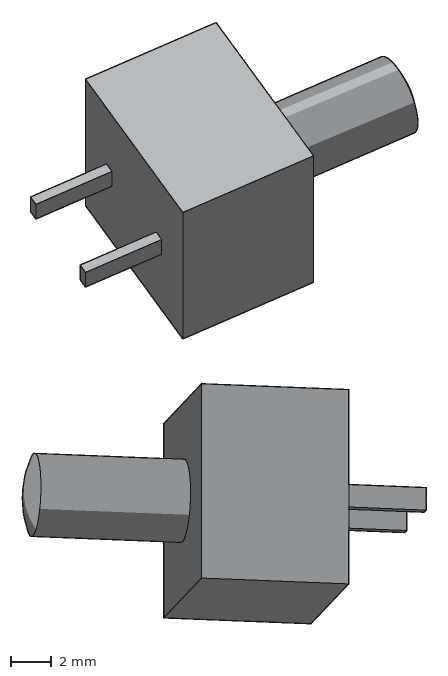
import cadquery as cq

total_length = 19.66
body_width = 9.8
body_depth = 7.4
plunger_diameter = 4.1
dome_height = 0.45
pin_length = 4.3
pin_width = 0.55
pin_height = 1.15
pin_spacing = 5.0

plunger_radius = plunger_diameter / 2
plunger_tip = total_length - pin_length
dome_base = plunger_tip - dome_height
dome_sphere_radius = (plunger_radius**2 + dome_height**2) / (2 * dome_height)
mid_radius = plunger_radius / 2
sphere_center = plunger_tip - dome_sphere_radius
mid_height = sphere_center + (dome_sphere_radius**2 - mid_radius**2) ** 0.5


def make_body():
    return cq.Workplane("XY").box(body_width, body_depth, body_width, centered=(True, False, True))


def make_plunger():
    """Round plunger with a domed end, revolved about the Y axis."""
    return (
        cq.Workplane("XY")
        .moveTo(0, body_depth / 2)
        .lineTo(plunger_radius, body_depth / 2)
        .lineTo(plunger_radius, dome_base)
        .threePointArc((mid_radius, mid_height), (0, plunger_tip))
        .close()
        .revolve(360, (0, 0, 0), (0, 1, 0))
    )


def make_pins():
    """Two flat pins standing out of the front face of the body."""
    return (
        cq.Workplane("XZ")
        .rarray(pin_spacing, 0.2, 2, 1)
        .rect(pin_width, pin_height)
        .extrude(pin_length)
    )


result = make_body().union(make_plunger()).union(make_pins())